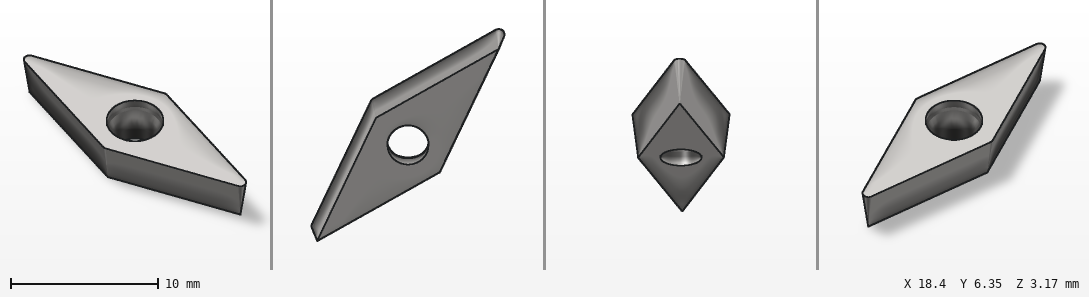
import cadquery as cq
import math

length = 18.41
width = 6.35
thickness = 3.17
nose_angle = 35.0
relief_angle = 7.0

nose_cotangent = 1 / math.tan(math.radians(nose_angle / 2))
nose_radius = (width * nose_cotangent - length) / 2 / (nose_cotangent - 1)

bore_radius = 2.8 / 2
mouth_radius = 3.87 / 2
mouth_depth = 0.63
seat_top_radius = 1.86
seat_top_depth = 0.87
seat_bottom_depth = 2.17


def insert_body():
    """Rhombus with rounded corners, narrowing downward on every flank."""
    side = width / math.sin(math.radians(nose_angle))
    lean = width / math.tan(math.radians(nose_angle))
    half_width = width / 2
    right_end = (side + lean) / 2
    left_end = (side - lean) / 2
    corners = [
        (right_end, half_width),
        (-left_end, half_width),
        (-right_end, -half_width),
        (left_end, -half_width),
    ]
    outline = cq.Sketch().polygon(corners + corners[:1]).vertices().fillet(nose_radius)
    return cq.Workplane("XY").placeSketch(outline).extrude(-thickness, taper=relief_angle)


def screw_hole():
    """Revolved cutter whose convex seat arc runs tangent into the bore."""
    seat_height = seat_bottom_depth - seat_top_depth
    seat_step = seat_top_radius - bore_radius
    seat_arc_radius = (seat_height**2 + seat_step**2) / (2 * seat_step)
    half_sweep = math.asin(seat_height / seat_arc_radius) / 2
    arc_middle = (
        bore_radius + seat_arc_radius * (1 - math.cos(half_sweep)),
        -seat_bottom_depth + seat_arc_radius * math.sin(half_sweep),
    )
    return (
        cq.Workplane("XZ")
        .moveTo(0, 0)
        .lineTo(mouth_radius, 0)
        .lineTo(mouth_radius, -mouth_depth)
        .lineTo(seat_top_radius, -seat_top_depth)
        .threePointArc(arc_middle, (bore_radius, -seat_bottom_depth))
        .lineTo(bore_radius, -thickness)
        .lineTo(0, -thickness)
        .close()
        .revolve(360, (0, 0, 0), (0, 1, 0))
    )


result = insert_body().cut(screw_hole())